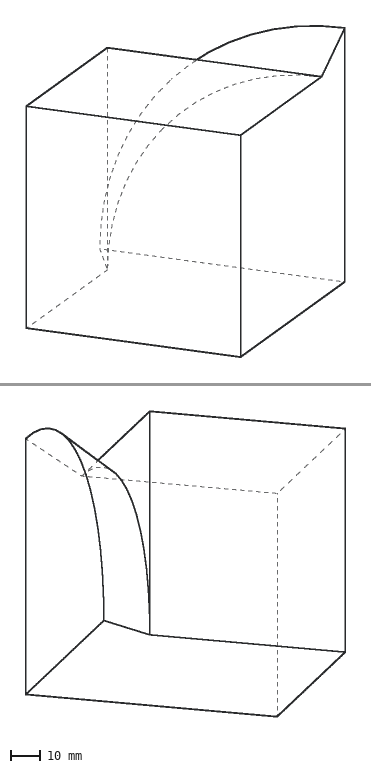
import cadquery as cq
import math

block_side = 80.0
block_depth = 70.0
flare_depth = 20.0
flare_angle = 30.0
flare_sweep = 90.0

flare_radius = block_side + flare_depth * math.tan(math.radians(flare_angle))
back_y = block_depth + flare_depth


def make_block():
    """Square block with its lower +X edge on the Y axis."""
    block = cq.Workplane("XY").box(block_side, block_depth, block_side, centered=False)
    return block.translate((-block_side, 0, 0))


def make_flare():
    """Quarter of a truncated cone about the Y axis, in the -X, +Z quadrant."""
    profile = (
        cq.Workplane("XY")
        .moveTo(0, block_depth)
        .lineTo(-block_side, block_depth)
        .lineTo(-flare_radius, back_y)
        .lineTo(0, back_y)
        .close()
    )
    return profile.revolve(flare_sweep, (0, 0, 0), (0, 1, 0))


result = make_block().union(make_flare())